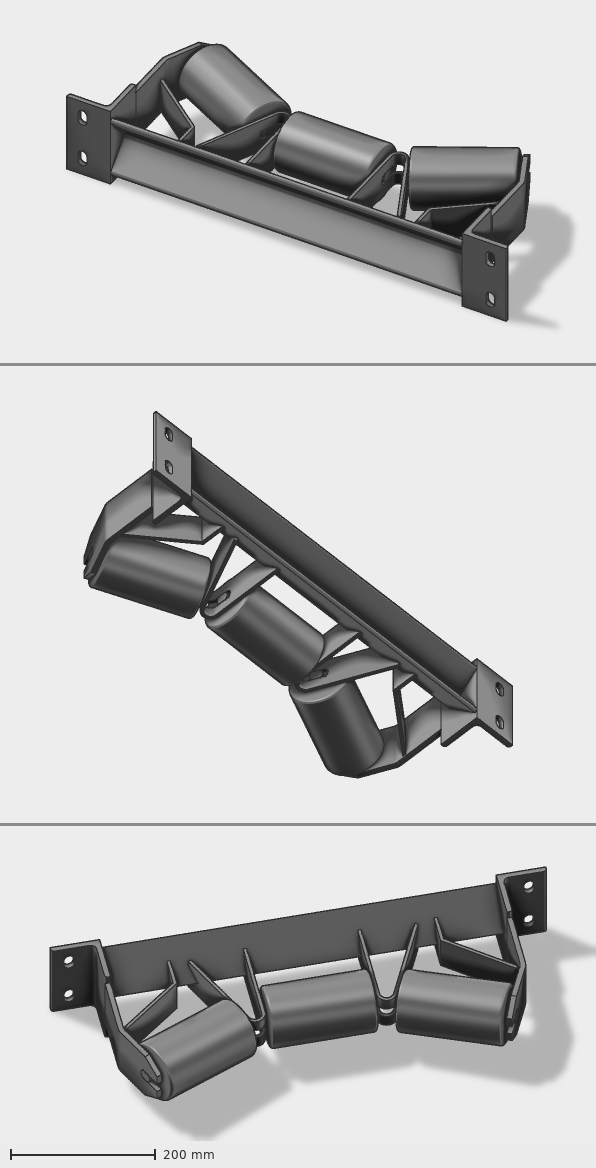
import cadquery as cq
import math

total_length = 700.0
half_length = total_length / 2

angle_leg = 70.0
angle_thickness = 8.0
angle_toe_radius = 4.0
angle_root_radius = 9.0

foot_height = 125.0
foot_slot_width = 14.0
foot_slot_length = 24.5
foot_slot_edge = 25.0
foot_slot_spacing = 70.0

beam_length = total_length - 2 * angle_leg
beam_heel_y = 53.0

roller_radius = 44.0
roller_length = 150.0
roller_edge_radius = 4.0
axle_radius = 10.0
axle_flat_width = 15.5
roller_pitch = 25.0
roller_rake = 3.0
centre_roller_y = 135.0
side_roller_centre = (-183.5, 177.0, 5.0)

arm_width = 80.0
arm_centre_z = 10.0
arm_bend_y = 159.0
arm_bend_radius = 13.0
arm_tip_length = 87.5
arm_chamfer_along = 27.0
arm_chamfer_across = 17.5

strip_thickness = 5.0
strip_height = 52.0
strip_end_y = beam_heel_y - strip_height / 2
bracket_face_x = -78.5
bracket_arch_radius = 15.0
bracket_arch_y = 148.0
bracket_sloped_length = 132.0
brace_face_x = -186.0
brace_bend_y = 70.0
brace_arm_y = 144.0

slot_reach = 140.0

arm_inner_x = -beam_length / 2
arm_outer_x = arm_inner_x - angle_thickness
pitch_sin = math.sin(math.radians(roller_pitch))
pitch_cos = math.cos(math.radians(roller_pitch))
arm_tip_x = arm_outer_x + arm_tip_length * pitch_sin
arm_tip_y = arm_bend_y + arm_tip_length * pitch_cos
bracket_inner_radius = bracket_arch_radius - strip_thickness
bracket_arch_x = bracket_face_x - bracket_arch_radius


def mirrored(body):
    """The same body on the +X side."""
    return body.mirror("YZ")


def angle_bar(length):
    """Rolled angle along +Z, heel at the origin, legs along +X and +Y."""
    bar = (
        cq.Workplane("XY")
        .polyline([
            (0, 0),
            (angle_leg, 0),
            (angle_leg, angle_thickness),
            (angle_thickness, angle_thickness),
            (angle_thickness, angle_leg),
            (0, angle_leg),
        ])
        .close()
        .extrude(length)
    )
    for x, y, radius in (
        (angle_thickness, angle_thickness, angle_root_radius),
        (angle_leg, angle_thickness, angle_toe_radius),
        (angle_thickness, angle_leg, angle_toe_radius),
    ):
        corner = cq.selectors.NearestToPointSelector((x, y, length / 2))
        bar = bar.edges(corner).fillet(radius)
    return bar


centre_plane = cq.Plane(origin=(0, centre_roller_y, 0), xDir=(1, 0, 0), normal=(0, 0, 1))


def side_roller_plane():
    """Frame of the -X roller, its local x pointing outwards along the axle."""
    rake_sin = math.sin(math.radians(roller_rake))
    rake_cos = math.cos(math.radians(roller_rake))
    axis = cq.Vector(-pitch_cos * rake_cos, pitch_sin * rake_cos, rake_sin)
    opening = cq.Vector(pitch_sin, pitch_cos, 0)
    return cq.Plane(origin=side_roller_centre, xDir=axis, normal=axis.cross(opening))


side_plane = side_roller_plane()


def axle_section_plane(plane):
    """Plane across the axle, its local x along the slot opening."""
    return cq.Plane(origin=plane.origin, xDir=plane.yDir, normal=plane.xDir)


def axle_slot(plane, start, end):
    """Slot tool from start to end along the axle: the flatted axle swept out of its seat."""
    across = cq.Workplane(axle_section_plane(plane)).workplane(offset=start)
    seat = across.circle(axle_radius).extrude(end - start)
    sweep = across.center(slot_reach / 2, 0).rect(slot_reach, 2 * axle_radius).extrude(end - start)
    flats = across.rect(2 * slot_reach, axle_flat_width).extrude(end - start)
    return seat.union(sweep).intersect(flats)


def roller(plane, low_end, high_end):
    """Roller whose axle runs from low_end to high_end, measured from the roller's middle."""
    across = cq.Workplane(axle_section_plane(plane))
    drum = (
        across.workplane(offset=-roller_length / 2)
        .circle(roller_radius)
        .extrude(roller_length)
        .edges()
        .fillet(roller_edge_radius)
    )
    axle_start = across.workplane(offset=low_end)
    axle_length = high_end - low_end
    flats = axle_start.rect(2 * axle_radius, axle_flat_width).extrude(axle_length)
    axle = axle_start.circle(axle_radius).extrude(axle_length).intersect(flats)
    return drum.union(axle)


def beam():
    """Beam with its legs spread 45 degrees up and down from the heel."""
    return (
        angle_bar(beam_length)
        .rotate((0, 0, 0), (0, 0, 1), -135)
        .rotate((0, 0, 0), (0, 1, 0), 90)
        .translate((-beam_length / 2, beam_heel_y, 0))
    )


def foot():
    """Foot at the -X end, one leg closing the end of the beam."""
    slots = (
        cq.Workplane("XZ")
        .pushPoints([
            (-half_length + foot_slot_edge, side * foot_slot_spacing / 2) for side in (-1, 1)
        ])
        .slot2D(foot_slot_length, foot_slot_width, 90)
        .extrude(-angle_leg / 2)
    )
    return (
        angle_bar(foot_height)
        .mirror("YZ")
        .translate((arm_inner_x, 0, -foot_height / 2))
        .cut(slots)
    )


def beam_wedge():
    """Room taken by the beam under a strip that straddles it."""
    return (
        cq.Workplane("YZ")
        .polyline([
            (beam_heel_y, 0),
            (beam_heel_y - angle_leg, -angle_leg),
            (beam_heel_y - angle_leg, angle_leg),
        ])
        .close()
        .extrude(half_length, both=True)
    )


def sloped_point(radius, along):
    """Plan point on the bracket's sloped leg, a distance along it from the arch."""
    return (
        bracket_arch_x - radius * pitch_cos - along * pitch_sin,
        bracket_arch_y + radius * pitch_sin - along * pitch_cos,
    )


def bracket():
    """Strip bent into an arch between the centre roller and the -X roller."""
    return (
        cq.Workplane("XY")
        .workplane(offset=-strip_height / 2)
        .moveTo(bracket_face_x, strip_end_y)
        .lineTo(bracket_face_x, bracket_arch_y)
        .threePointArc(
            (bracket_arch_x, bracket_arch_y + bracket_arch_radius),
            sloped_point(bracket_arch_radius, 0),
        )
        .lineTo(*sloped_point(bracket_arch_radius, bracket_sloped_length))
        .lineTo(*sloped_point(bracket_inner_radius, bracket_sloped_length))
        .lineTo(*sloped_point(bracket_inner_radius, 0))
        .threePointArc(
            (bracket_arch_x, bracket_arch_y + bracket_inner_radius),
            (bracket_arch_x + bracket_inner_radius, bracket_arch_y),
        )
        .lineTo(bracket_arch_x + bracket_inner_radius, strip_end_y)
        .close()
        .extrude(strip_height)
        .cut(beam_wedge())
        .cut(axle_slot(centre_plane, -half_length, 0))
        .cut(axle_slot(side_plane, -half_length / 2, 0))
    )


def brace():
    """Bent strip from the -X arm to the beam."""
    slope = (brace_arm_y - brace_bend_y) / (brace_face_x - arm_inner_x)
    drop = strip_thickness * math.hypot(1, slope)
    back_x = brace_face_x - strip_thickness
    back_bend_y = brace_bend_y + slope * strip_thickness - drop
    return (
        cq.Workplane("XY")
        .workplane(offset=-strip_height / 2)
        .polyline([
            (brace_face_x, strip_end_y),
            (brace_face_x, brace_bend_y),
            (arm_inner_x, brace_arm_y),
            (arm_inner_x, brace_arm_y - drop),
            (back_x, back_bend_y),
            (back_x, strip_end_y),
        ])
        .close()
        .extrude(strip_height)
        .cut(beam_wedge())
    )


def arm_outline():
    """Plan of the -X arm: upright from the foot, then leaning inwards along the roller's end."""
    outer_radius = arm_bend_radius + angle_thickness
    bend_start_y = arm_bend_y - outer_radius * math.tan(math.radians(roller_pitch / 2))
    centre_x = arm_outer_x + outer_radius
    half_sin = math.sin(math.radians(roller_pitch / 2))
    half_cos = math.cos(math.radians(roller_pitch / 2))

    def on_bend(radius, sine, cosine):
        return (centre_x - radius * cosine, bend_start_y + radius * sine)

    return (
        cq.Workplane("XY")
        .workplane(offset=arm_centre_z - arm_width / 2)
        .moveTo(arm_outer_x, angle_leg)
        .lineTo(arm_outer_x, bend_start_y)
        .threePointArc(
            on_bend(outer_radius, half_sin, half_cos), on_bend(outer_radius, pitch_sin, pitch_cos)
        )
        .lineTo(arm_tip_x, arm_tip_y)
        .lineTo(arm_tip_x + angle_thickness * pitch_cos, arm_tip_y - angle_thickness * pitch_sin)
        .lineTo(*on_bend(arm_bend_radius, pitch_sin, pitch_cos))
        .threePointArc(
            on_bend(arm_bend_radius, half_sin, half_cos), (arm_inner_x, bend_start_y)
        )
        .lineTo(arm_inner_x, angle_leg)
        .close()
    )


def arm_tip_corners():
    """The two corners removed from the arm's tip, as prisms through its thickness."""
    tip_plane = cq.Plane(
        origin=(arm_tip_x, arm_tip_y, arm_centre_z),
        xDir=(pitch_sin, pitch_cos, 0),
        normal=(pitch_cos, -pitch_sin, 0),
    )
    corners = cq.Workplane(tip_plane)
    for side in (-1, 1):
        edge = side * arm_width / 2
        corners = (
            corners.moveTo(0, edge)
            .lineTo(-arm_chamfer_along, edge)
            .lineTo(0, edge - side * arm_chamfer_across)
            .close()
        )
    return corners.extrude(angle_thickness)


def arm():
    """The -X arm and its brace."""
    return (
        arm_outline()
        .extrude(arm_width)
        .cut(arm_tip_corners())
        .cut(axle_slot(side_plane, 0, half_length / 2))
        .union(brace())
    )


def out_from_side_roller(x, y):
    """Distance of a plan point outwards from the -X roller's centre, along its axle."""
    return (side_roller_centre[0] - x) * pitch_cos + (y - side_roller_centre[1]) * pitch_sin


bracket_far_face = bracket_face_x - strip_thickness
sloped_face = out_from_side_roller(*sloped_point(bracket_inner_radius, 0))
arm_face = out_from_side_roller(arm_outer_x, arm_bend_y)

left_foot = foot()
frame = beam().union(left_foot).union(mirrored(left_foot))

left_arm = arm()
arms = [left_arm, mirrored(left_arm)]

left_bracket = bracket()
brackets = [left_bracket, mirrored(left_bracket)]

left_roller = roller(side_plane, sloped_face, arm_face)
centre_roller = roller(centre_plane, bracket_far_face, -bracket_far_face)
rollers = [left_roller, centre_roller, mirrored(left_roller)]

result = cq.Compound.makeCompound([
    body.val() for body in [frame, *arms, *brackets, *rollers]
])